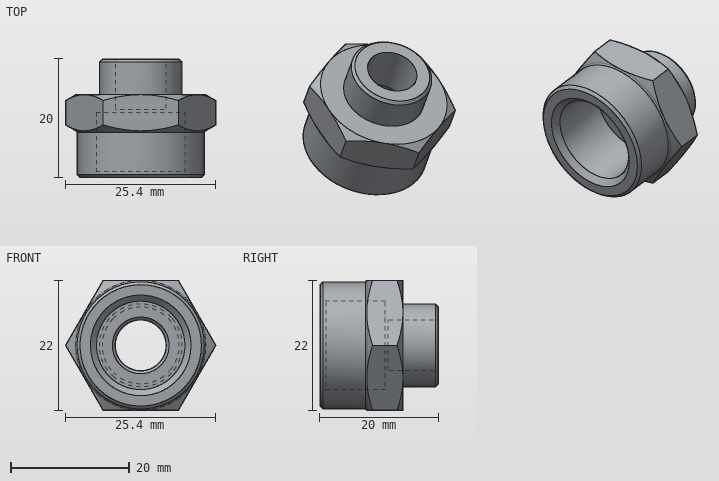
import cadquery as cq
import math

total_length = 20.0
hex_across_flats = 22.0
hex_width = 6.1
small_spigot_length = 6.0
large_spigot_length = total_length - hex_width - small_spigot_length

large_diameter = 21.5
small_diameter = 14.0
spigot_chamfer = 0.5

root_chamfer = (hex_across_flats - large_diameter) / 2

hex_chamfer_angle = math.radians(30)

large_bore_diameter = 14.95
large_bore_mouth_diameter = 17.0
large_bore_depth = 11.0
small_bore_diameter = 8.57
bore_chamfer = 0.5

hex_across_corners = hex_across_flats / math.cos(math.pi / 6)
hex_start = large_spigot_length
hex_end = hex_start + hex_width


def revolve_about_y(points):
    """Revolve a closed outline of (radius, station) points around the Y axis."""
    return cq.Workplane("XY").polyline(points).close().revolve(360, (0, 0, 0), (0, 1, 0))


def make_hexagon():
    """Hexagon with corners on the X axis and both faces chamfered conically."""
    prism = (
        cq.Workplane("XZ", origin=(0, hex_end, 0))
        .polygon(6, hex_across_corners)
        .extrude(hex_width)
    )
    face_radius = hex_across_flats / 2
    corner_radius = hex_across_corners / 2
    chamfer_drop = (corner_radius - face_radius) * math.tan(hex_chamfer_angle)
    envelope = revolve_about_y([
        (0, hex_start),
        (face_radius, hex_start),
        (corner_radius, hex_start + chamfer_drop),
        (corner_radius, hex_end - chamfer_drop),
        (face_radius, hex_end),
        (0, hex_end),
    ])
    return prism.intersect(envelope)


def make_spigots():
    """Both cylindrical ends with their outer end chamfers, as one turned core."""
    large_radius = large_diameter / 2
    small_radius = small_diameter / 2
    return revolve_about_y([
        (0, 0),
        (large_radius - spigot_chamfer, 0),
        (large_radius, spigot_chamfer),
        (large_radius, hex_start - root_chamfer),
        (large_radius + root_chamfer, hex_start),
        (small_radius, hex_start),
        (small_radius, total_length - spigot_chamfer),
        (small_radius - spigot_chamfer, total_length),
        (0, total_length),
    ])


def make_bore():
    """Stepped through bore: wide chamfered counterbore, then a chamfered narrow hole."""
    mouth_radius = large_bore_mouth_diameter / 2
    large_radius = large_bore_diameter / 2
    small_radius = small_bore_diameter / 2
    return revolve_about_y([
        (0, 0),
        (mouth_radius, 0),
        (large_radius, mouth_radius - large_radius),
        (large_radius, large_bore_depth),
        (small_radius + bore_chamfer, large_bore_depth),
        (small_radius, large_bore_depth + bore_chamfer),
        (small_radius, total_length),
        (0, total_length),
    ])


result = make_hexagon().union(make_spigots()).cut(make_bore())